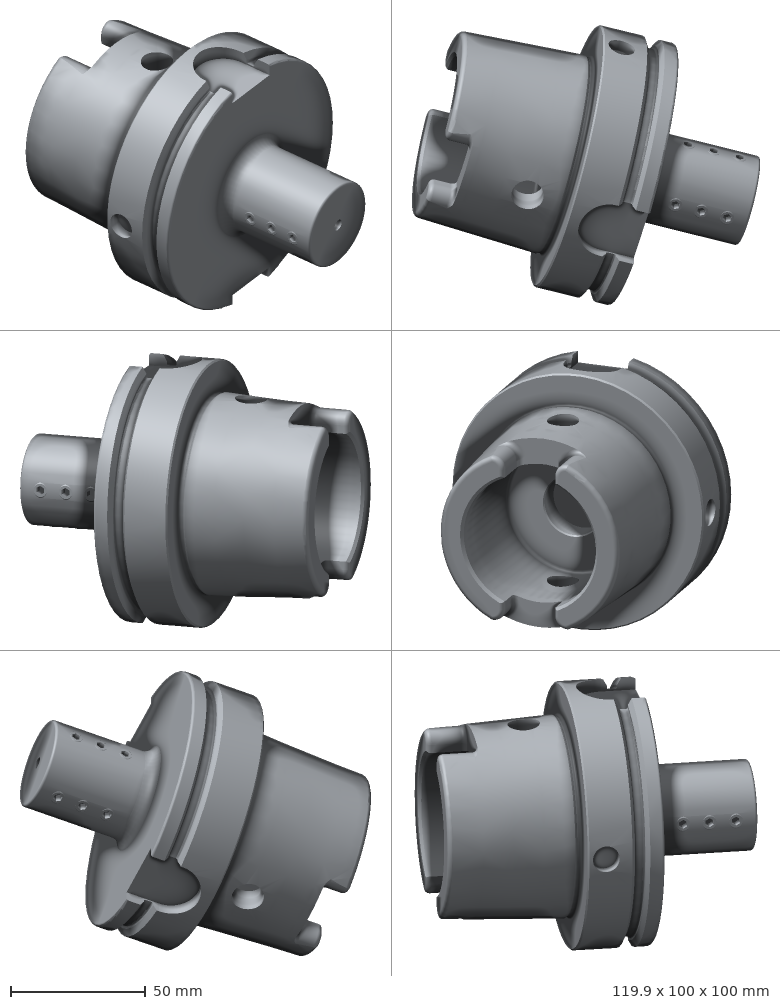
import cadquery as cq
import math


flange_radius = 50.0
flange_length = 29.0
flange_front_chamfer = 0.6
flange_back_fillet = 1.0

groove_center = 20.1
groove_mouth_half_width = 3.4
groove_wall_half_width = 1.9
groove_wall_radius = 47.5
groove_floor_radius = 46.0
groove_floor_fillet = 0.7

taper_length = 50.0
taper_slope = 1 / 20
taper_large_radius = 37.9
tail_fillet = 1.9

undercut_start = 2.5
undercut_floor_start = 1.7
undercut_radius = 37.4
undercut_fillet = 1.0

nose_radius = 17.0
nose_end = 119.9 - taper_length
nose_end_fillet = 1.0
nose_root_fillet = 5.0
nose_root_end = 33.8

bore_radius = 26.3
bore_mouth_chamfer = 1.1
bore_floor = -4.8
bore_floor_fillet = 1.3
recess_radius = 12
recess_lead_in = 0.5
recess_depth = 9.6
coolant_radius = 2.2

drive_half_width = 10.0
drive_top_depth = 15.1
drive_bottom_depth = 10.1
drive_corner_radius = 4.8
drive_key_height = 32.3
drive_key_tilt = 16
drive_floor_fillet = 1.9

cross_hole_radius = 6
cross_hole_x = -15.1
chip_hole_radius = 5.0
chip_hole_x = 7.0
chip_hole_depth = 4.5

flange_slot_half_width = 11.2
flange_slot_start = 4.8
flange_slot_floor = 44.0

screw_radius = 3.0
screw_tip_radius = 2.5
screw_tip_length = 0.3
screw_length = 9.6
screw_first_x = 41.8
screw_pitch = 10.0
screws_per_row = 3
screw_row_angles = (-90, 0, 90)
socket_across_flats = 3.0
socket_depth = 3.6

beyond = 2 * flange_radius


def revolved(profile):
    return profile.close().revolve(360, (0, 0, 0), (1, 0, 0))


def outer_body():
    tail_radius = taper_large_radius - taper_slope * (taper_length - undercut_start)
    wall_start = groove_center - groove_wall_half_width
    wall_end = groove_center + groove_wall_half_width
    arc_middle = groove_floor_fillet * (1 - math.sqrt(0.5))
    fillet_top = groove_floor_radius + groove_floor_fillet
    undercut_middle = undercut_fillet * (1 - math.sqrt(0.5))
    root_center_radius = nose_radius + nose_root_fillet
    root_angle = math.acos((nose_root_end - flange_length) / nose_root_fillet)
    root_radius = root_center_radius - nose_root_fillet * math.sin(root_angle)
    middle_angle = (root_angle + math.pi / 2) / 2
    root_middle = (
        nose_root_end - nose_root_fillet * math.cos(middle_angle),
        root_center_radius - nose_root_fillet * math.sin(middle_angle),
    )
    back_middle = flange_back_fillet * (1 - math.sqrt(0.5))
    nose_middle = nose_end_fillet * (1 - math.sqrt(0.5))
    profile = (
        cq.Workplane("XY")
        .moveTo(-taper_length, 0)
        .lineTo(-taper_length, tail_radius)
        .lineTo(-undercut_start, taper_large_radius)
        .lineTo(-undercut_floor_start, undercut_radius)
        .lineTo(-undercut_fillet, undercut_radius)
        .threePointArc(
            (-undercut_middle, undercut_radius + undercut_middle),
            (0, undercut_radius + undercut_fillet),
        )
        .lineTo(0, flange_radius - flange_front_chamfer)
        .lineTo(flange_front_chamfer, flange_radius)
        .lineTo(groove_center - groove_mouth_half_width, flange_radius)
        .lineTo(wall_start, groove_wall_radius)
        .lineTo(wall_start, fillet_top)
        .threePointArc(
            (wall_start + arc_middle, groove_floor_radius + arc_middle),
            (wall_start + groove_floor_fillet, groove_floor_radius),
        )
        .lineTo(wall_end - groove_floor_fillet, groove_floor_radius)
        .threePointArc(
            (wall_end - arc_middle, groove_floor_radius + arc_middle),
            (wall_end, fillet_top),
        )
        .lineTo(wall_end, groove_wall_radius)
        .lineTo(groove_center + groove_mouth_half_width, flange_radius)
        .lineTo(flange_length - flange_back_fillet, flange_radius)
        .threePointArc(
            (flange_length - back_middle, flange_radius - back_middle),
            (flange_length, flange_radius - flange_back_fillet),
        )
        .lineTo(flange_length, root_radius)
        .threePointArc(root_middle, (nose_root_end, nose_radius))
        .lineTo(nose_end - nose_end_fillet, nose_radius)
        .threePointArc(
            (nose_end - nose_middle, nose_radius - nose_middle),
            (nose_end, nose_radius - nose_end_fillet),
        )
        .lineTo(nose_end, 0)
    )
    return revolved(profile)


def drive_slot(depth):
    """Upper drive slot, whose flared sides and mouth round the keys beside it."""
    center_y = drive_half_width + drive_corner_radius
    center_z = drive_key_height - drive_corner_radius
    tilt = math.radians(drive_key_tilt)

    def on_corner(angle):
        reach = drive_corner_radius
        return center_y - reach * math.cos(angle), center_z + reach * math.sin(angle)

    corner_middle_y, corner_middle_z = on_corner(math.pi / 4)
    corner_end_y, corner_end_z = on_corner(math.pi / 2 + tilt)
    outer_y = flange_radius
    outer_z = corner_end_z - (outer_y - corner_end_y) * math.tan(tilt)
    outline = (
        cq.Workplane("YZ", origin=(-taper_length, 0, 0))
        .moveTo(-drive_half_width, 0)
        .lineTo(drive_half_width, 0)
        .lineTo(drive_half_width, center_z)
        .threePointArc((corner_middle_y, corner_middle_z), (corner_end_y, corner_end_z))
        .lineTo(outer_y, outer_z)
        .lineTo(outer_y, beyond)
        .lineTo(-outer_y, beyond)
        .lineTo(-outer_y, outer_z)
        .lineTo(-corner_end_y, corner_end_z)
        .threePointArc((-corner_middle_y, corner_middle_z), (-drive_half_width, center_z))
        .close()
    )
    slot = outline.extrude(depth)
    slot = slot.faces(">X").edges("not(<Z or >Z or <Y or >Y)").fillet(drive_floor_fillet)
    blank = cq.Workplane("XY").box(2 * depth, 2 * outer_y, beyond, centered=(False, True, False))
    blank = blank.translate((-taper_length, 0, 0))
    keys = blank.cut(slot)
    keys = keys.faces("<X").edges("not(<Z or >Z or <Y or >Y)").fillet(tail_fillet)
    return blank.cut(keys)


def bore():
    recess_floor = bore_floor + recess_depth
    mouth = -taper_length
    fillet_middle = bore_floor_fillet * (1 - math.sqrt(0.5))
    profile = (
        cq.Workplane("XY")
        .moveTo(mouth, 0)
        .lineTo(mouth, bore_radius + bore_mouth_chamfer)
        .lineTo(mouth + bore_mouth_chamfer, bore_radius)
        .lineTo(bore_floor - bore_floor_fillet, bore_radius)
        .threePointArc(
            (bore_floor - fillet_middle, bore_radius - fillet_middle),
            (bore_floor, bore_radius - bore_floor_fillet),
        )
        .lineTo(bore_floor, recess_radius)
        .lineTo(bore_floor + recess_lead_in, recess_radius - recess_lead_in)
        .lineTo(recess_floor, recess_radius - recess_lead_in)
        .lineTo(recess_floor, coolant_radius)
        .lineTo(nose_end, coolant_radius)
        .lineTo(nose_end, 0)
    )
    return revolved(profile)


def cross_hole():
    hole = cq.Workplane("XY").center(cross_hole_x, 0).circle(cross_hole_radius)
    return hole.extrude(beyond, both=True)


def chip_hole():
    floor = cq.Workplane("XZ", origin=(chip_hole_x, chip_hole_depth - flange_radius, 0))
    return floor.circle(chip_hole_radius).extrude(beyond)


def flange_slot():
    """Upper flange slot, open through the back of the flange."""
    arc_center_x = flange_slot_start + flange_slot_half_width
    return (
        cq.Workplane("XY", origin=(0, 0, flange_slot_floor))
        .moveTo(beyond, flange_slot_half_width)
        .lineTo(arc_center_x, flange_slot_half_width)
        .threePointArc((flange_slot_start, 0), (arc_center_x, -flange_slot_half_width))
        .lineTo(beyond, -flange_slot_half_width)
        .close()
        .extrude(beyond)
    )


def half_turn(shape):
    return shape.rotate((0, 0, 0), (1, 0, 0), 180)


def screw_envelope(x, row_angle):
    tip_start = nose_radius - screw_tip_length
    profile = (
        cq.Workplane("XZ")
        .moveTo(0, nose_radius - screw_length)
        .lineTo(screw_radius, nose_radius - screw_length)
        .lineTo(screw_radius, tip_start)
        .lineTo(screw_tip_radius, nose_radius)
        .lineTo(0, nose_radius)
        .close()
        .revolve(360, (0, 0, 0), (0, 1, 0))
    )
    return profile.translate((x, 0, 0)).rotate((0, 0, 0), (1, 0, 0), 180 + row_angle)


def socket(x, row_angle):
    hexagon = cq.Workplane("XY", origin=(x, 0, nose_radius - socket_depth)).polygon(
        6, socket_across_flats, circumscribed=True
    )
    return hexagon.extrude(beyond).rotate((0, 0, 0), (1, 0, 0), 180 + row_angle)


screw_places = [
    (screw_first_x + i * screw_pitch, angle) for angle in screw_row_angles for i in range(screws_per_row)
]


def make_holder():
    holder = outer_body().faces("<X").edges().fillet(tail_fillet)
    holder = holder.cut(drive_slot(drive_top_depth)).cut(half_turn(drive_slot(drive_bottom_depth)))
    holder = holder.cut(bore())
    holder = holder.cut(cross_hole()).cut(chip_hole())
    holder = holder.cut(flange_slot()).cut(half_turn(flange_slot()))
    for place in screw_places:
        holder = holder.cut(screw_envelope(*place))
    return holder


holder = make_holder()
screws = [screw_envelope(*place).cut(socket(*place)) for place in screw_places]

result = cq.Compound.makeCompound([holder.val(), *[screw.val() for screw in screws]])